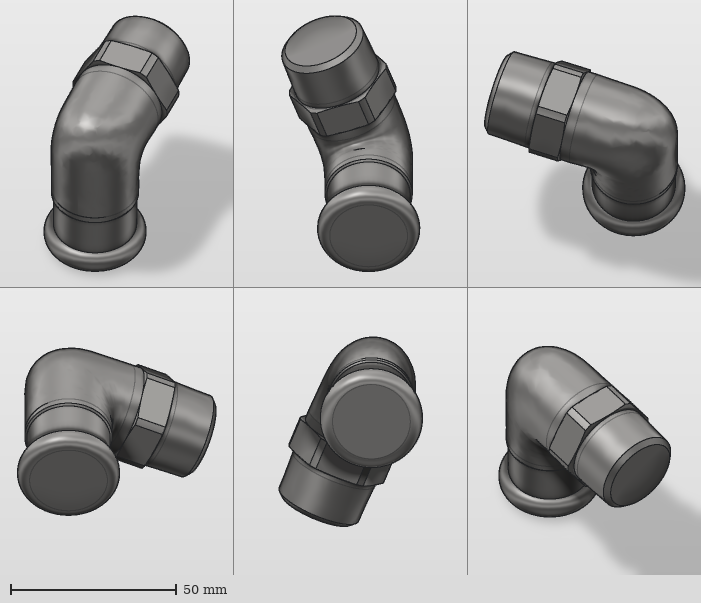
import cadquery as cq
import math


thread_end = 43.9
thread_tip_radius = 22.9 / 2
thread_chamfer = 1.55
thread_root = 30.15
thread_root_radius = 26.9 / 2
taper_per_length = 1 / 32

hex_sides = 6
hex_front = 28.6
hex_back = 18.8
hex_corner_radius = 31.0 / 2
hex_chamfer = 0.3
neck_radius = 28.0 / 2

collar_radius = 26.5 / 2
collar_end = -22.1
tube_radius = 25.3 / 2
tube_start = -22.7
bead_radius = 31.0 / 2
bead_height = 7.4
overall_height = 57
socket_end = neck_radius - overall_height

throat_radius = 2.6
heel_radius = 13.9
elbow_end = -20.0
throat_y = collar_radius + throat_radius
throat_z = -neck_radius - throat_radius
heel_y = heel_radius - collar_radius
heel_z = neck_radius - heel_radius
elbow_steps = 24
width_ease = 1.3


def heel_distance(angle):
    """Distance from the throat centre to the outer outline, along a ray leaning from +Z toward -Y."""
    ray_y = -math.sin(angle)
    ray_z = math.cos(angle)
    to_top = (neck_radius - throat_z) / ray_z
    if throat_y + to_top * ray_y >= heel_y:
        return to_top
    to_front = (-collar_radius - throat_y) / ray_y
    if throat_z + to_front * ray_z <= heel_z:
        return to_front
    offset_y = throat_y - heel_y
    offset_z = throat_z - heel_z
    along = offset_y * ray_y + offset_z * ray_z
    clearance = offset_y**2 + offset_z**2 - heel_radius**2
    return -along + math.sqrt(along**2 - clearance)


def elbow_section(step):
    """Ellipse in a plane through the throat centre, spanning from throat to heel."""
    share = step / elbow_steps
    angle = share * math.pi / 2
    half_width = collar_radius + (neck_radius - collar_radius) * (1 - share) ** width_ease
    outer = heel_distance(angle)
    middle_distance = (throat_radius + outer) / 2
    ray = cq.Vector(0, -math.sin(angle), math.cos(angle))
    center = cq.Vector(0, throat_y, throat_z) + ray * middle_distance
    normal = cq.Vector(0, -math.cos(angle), -math.sin(angle))
    plane = cq.Plane(origin=center, xDir=ray, normal=normal)
    half_span = (outer - throat_radius) / 2
    return cq.Workplane(plane).ellipse(half_span, half_width).wire().val()


def make_elbow():
    """Smooth loft that bends from the neck to the collar, with a short straight end."""
    sections = [elbow_section(step) for step in range(elbow_steps + 1)]
    collar_circle = cq.Wire.makeCircle(collar_radius, cq.Vector(0, 0, elbow_end), cq.Vector(0, 0, -1))
    sections.append(collar_circle.rotate(cq.Vector(0, 0, 0), cq.Vector(0, 0, 1), 90))
    return cq.Workplane(cq.Solid.makeLoft(sections))


def revolve_about_y(points):
    profile = cq.Workplane("XY").polyline(points).close()
    return profile.revolve(360, (0, 0, 0), (0, 1, 0))


def make_threaded_end():
    """Round neck, then the thread blank tapering toward its chamfered tip."""
    shoulder = thread_end - thread_chamfer
    shoulder_radius = thread_root_radius - (shoulder - thread_root) * taper_per_length
    return revolve_about_y([
        (0, throat_y),
        (neck_radius, throat_y),
        (neck_radius, hex_back),
        (thread_root_radius, hex_back),
        (thread_root_radius, thread_root),
        (shoulder_radius, shoulder),
        (thread_tip_radius, thread_end),
        (0, thread_end),
    ])


def make_hexagon():
    """Hexagon with flats flush with the neck; its corners are turned round and its ends chamfered."""
    length = hex_front - hex_back
    corner_diameter = 2 * neck_radius / math.cos(math.pi / hex_sides)
    hexagon = (
        cq.Workplane("XZ", origin=(0, hex_front, 0))
        .polygon(hex_sides, corner_diameter)
        .extrude(length)
    )
    turned_blank = revolve_about_y([
        (0, hex_back),
        (neck_radius, hex_back),
        (hex_corner_radius, hex_back + hex_chamfer),
        (hex_corner_radius, hex_front - hex_chamfer),
        (neck_radius, hex_front),
        (0, hex_front),
    ])
    return hexagon.intersect(turned_blank)


def make_socket():
    """Collar, plain tube and the full-round bead at the bottom end."""
    bead_round = bead_height / 2
    bead_center_radius = bead_radius - bead_round
    bead_middle = socket_end + bead_round
    bead_top = bead_middle + math.sqrt(bead_round**2 - (tube_radius - bead_center_radius) ** 2)
    profile = (
        cq.Workplane("XZ")
        .moveTo(0, elbow_end)
        .lineTo(collar_radius, elbow_end)
        .lineTo(collar_radius, collar_end)
        .lineTo(tube_radius, tube_start)
        .lineTo(tube_radius, bead_top)
        .threePointArc((bead_radius, bead_middle), (bead_center_radius, socket_end))
        .lineTo(0, socket_end)
        .close()
    )
    return profile.revolve(360, (0, 0, 0), (0, 1, 0))


result = make_elbow().union(make_threaded_end()).union(make_hexagon()).union(make_socket())